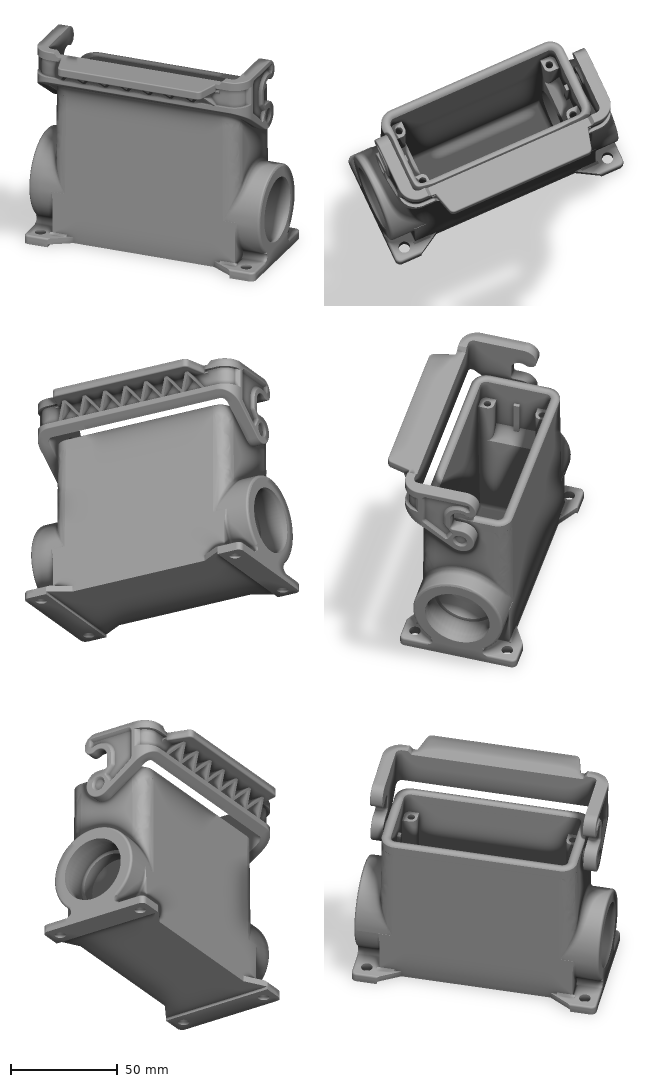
import cadquery as cq
import math

RIM_HALF_X = 46.7
RIM_HALF_Y = 21.4
CORNER_R = 7.1
WALL = 4.3
RIM_TOP_Z = 81.1
RIM_CROWN = 1.0
BEAD_Z = RIM_TOP_Z - RIM_CROWN
COLLAR_Z = 75.5
BODY_FLARE = 0.7
BASE_Z = 1.4
BASE_HALF_X = 46.2

MOUTH_HALF_X = RIM_HALF_X - WALL
MOUTH_HALF_Y = RIM_HALF_Y - WALL
SHELF_OUTER_Z = 53.8
SHELF_INNER_Z = 48.0
MOUTH_DRAFT = 0.3
WELL_HALF_X = 35.7
WELL_HALF_Y = 17.0
WELL_DRAFT = 1.6
FLOOR_Z = 4.7
FLOOR_FILLET = 1.8
WALL_RIB = 1.6
WALL_RIB_WIDTH = 2.8

POST_X = 38.6
POST_Y = 13.3
POST_TOP_Z = 69.5
POST_HALF_X = 2.9
POST_HALF_Y = 3.3
POST_CORNER_R = 2.8
POST_HOLE_R = 1.8
POST_HOLE_DEPTH = 11.7

HUB_R = 21.8
HUB_Z = 25.6
HUB_END_X = 58.5
HUB_INNER_X = 39.8
HUB_EDGE_FILLET = 1.2
HUB_ROOT_FILLET = 1.0
BORE_R = 15.7
BORE_DEPTH = 14.0
THROAT_R = 13.9
MEMBRANE_X = 38.0

FOOT_HALF_Y = 28.4
FOOT_TOP_Z = 4.3
FOOT_CORNER_R = 2.6
FOOT_EDGE_FILLET = 0.9
WING_TIP_X = 35.6
FOOT_HOLE_X = 52.2
FOOT_HOLE_Y = 22.5
FOOT_HOLE_R = 2.7
NECK_FILLET = 2.1
SEAM_RIB_WIDTH = 1.2
SEAM_RIB_HEIGHT = 0.8
SEAM_RIB_END_X = 38.8

LEVER_HALF_X = 53.9
ARM_INNER_X = 48.0
LEVER_FRONT_Y = -28.9
LEVER_INNER_Y = -24.7
LEVER_TOP_Z = 100.0
LEVER_CORNER_R = 8.5
LEVER_INNER_R = 2.6
LEVER_CHIN_Z = 84.5
ARM_EDGE_FILLET = 0.5
PIVOT_Z = 73.0
PIVOT_EYE_R = 6.8
PIVOT_PIN_R = 3.5
PIVOT_DISH_R = 2.5
PIVOT_DISH_DEPTH = 1.0

SLOT_Z = 86.6
SLOT_R = 4.7
SLOT_FILLET = 1.2
NOSE_Y = 7.7
NOSE_TIP_R = 3.4
NOSE_TIP_Z = 93.4
NOSE_TOP_R = 6.2

PANEL_DEPTH = 1.4
PANEL_TAPER = 45.0
PANEL_TOP_Z = 97.7
PANEL_FRONT_Y = -18.6
PANEL_NOSE_Y = 4.9
PANEL_ARC_R = 7.1
PANEL_ARC_END_Y = 2.3
PANEL_NOSE_Z = 94.8
PANEL_LOBE = (4.0, 93.0)
PANEL_CORNER_R = 2.1
PANEL_SMALL_R = 1.0
PANEL_CHIN_Z = 81.1
PANEL_WAIST = (-7.1, 81.4)
PANEL_HEEL = (-3.4, 77.0)
PANEL_TOE = (-6.5, 72.0)

BAND_DEPTH = 1.8
BAND_BOTTOM_Z = 86.9
BAND_TOP_Z = 95.9
BAND_END_Y = -20.5
EAR_TOP_X = 42.7
EAR_FOOT_X = 41.1
PLATE_TOP_Z = 98.0
PLATE_BOTTOM_Z = 94.0
PLATE_TIP_Y = -40.6
PLATE_ROOT_X = 39.2
PLATE_TIP_X = 36.0
PLATE_CORNER_R = 2.6
PLATE_EDGE_FILLET = 0.6
PLATE_ROOT_R = 1.6

RIB_PITCH = 11.0
RIB_PEAKS = 7
RIB_THICKNESS = 1.2
RIB_REACH_Y = -34.9

OVERLAP = 0.6
DIAGONAL = math.sqrt(0.5)


def box(x0, x1, y0, y1, z0, z1):
    return cq.Workplane("XY").box(x1 - x0, y1 - y0, z1 - z0, centered=False).translate((x0, y0, z0))


def both_ends(shape):
    """The shape together with its mirror image at the other X end."""
    return shape.union(shape.mirror("YZ"))


def both_sides(shape):
    """The shape together with its mirror image at the other Y side."""
    return shape.union(shape.mirror("XZ"))


def rounded_block(half_x, half_y, radius, z0, z1):
    block = box(-half_x, half_x, -half_y, half_y, z0, z1)
    return block.edges("|Z").fillet(radius)


def x_cylinder(radius, x0, x1, z):
    """Cylinder along X with its axis at y = 0."""
    return cq.Workplane("YZ", origin=(x0, 0, z)).circle(radius).extrude(x1 - x0)


def rim_crown():
    """Low arched bead running along the top of the tub wall."""
    mid_y = RIM_HALF_Y - WALL / 2
    path = rounded_block(RIM_HALF_X - WALL / 2, mid_y, CORNER_R - WALL / 2, BEAD_Z, RIM_TOP_Z)
    path = path.faces("<Z").wires().val()
    return (
        cq.Workplane("YZ", origin=(0, 0, BEAD_Z))
        .moveTo(mid_y - WALL / 2, 0)
        .threePointArc((mid_y, RIM_CROWN), (mid_y + WALL / 2, 0))
        .close()
        .sweep(cq.Workplane(path))
    )


def body():
    collar = rounded_block(RIM_HALF_X, RIM_HALF_Y, CORNER_R, COLLAR_Z, BEAD_Z)
    drafted = (
        cq.Workplane("XY", origin=(0, 0, COLLAR_Z))
        .rect(2 * RIM_HALF_X, 2 * RIM_HALF_Y)
        .workplane(offset=BASE_Z - COLLAR_Z)
        .rect(2 * (RIM_HALF_X + BODY_FLARE), 2 * (RIM_HALF_Y + BODY_FLARE))
        .loft(ruled=True)
    )
    upper_zone = box(-HUB_END_X, HUB_END_X, -FOOT_HALF_Y, FOOT_HALF_Y, HUB_Z, COLLAR_Z)
    base_zone = box(-BASE_HALF_X, BASE_HALF_X, -FOOT_HALF_Y, FOOT_HALF_Y, BASE_Z, HUB_Z)
    skirt = drafted.edges("not (#Z)").fillet(CORNER_R).intersect(upper_zone)
    base = drafted.intersect(base_zone)
    return collar.union(skirt).union(base).union(rim_crown())


def base_half_y(z):
    """Half depth of the drafted tub at a height below the collar."""
    return RIM_HALF_Y + BODY_FLARE * (COLLAR_Z - z) / (COLLAR_Z - BASE_Z)


def hub():
    """Cable entry boss at +X, blended into the foot below it."""
    barrel = x_cylinder(HUB_R, HUB_INNER_X, HUB_END_X, HUB_Z)
    barrel = barrel.faces(">X").edges().fillet(HUB_EDGE_FILLET)
    blend_z = FOOT_TOP_Z + NECK_FILLET
    reach = HUB_R + NECK_FILLET
    blend_y = math.sqrt(reach**2 - (HUB_Z - blend_z) ** 2)
    touch_y = blend_y * HUB_R / reach
    touch_z = HUB_Z + (blend_z - HUB_Z) * HUB_R / reach
    neck = (
        cq.Workplane("YZ", origin=(BASE_HALF_X, 0, 0))
        .moveTo(0, BASE_Z)
        .lineTo(blend_y, BASE_Z)
        .lineTo(blend_y, FOOT_TOP_Z)
        .threePointArc((blend_y - NECK_FILLET, blend_z), (touch_y, touch_z))
        .lineTo(0, HUB_Z)
        .close()
        .extrude(HUB_END_X - BASE_HALF_X)
    )
    return barrel.union(both_sides(neck))


def hub_root(shell):
    """The shell with the root of the +X hub filleted where it meets the end wall."""
    crest = cq.selectors.NearestToPointSelector((RIM_HALF_X, 0, HUB_Z + HUB_R))
    shell = shell.edges(crest).fillet(HUB_ROOT_FILLET)
    size = HUB_ROOT_FILLET
    ring = (
        cq.Workplane("XY", origin=(BASE_HALF_X, 0, HUB_Z))
        .moveTo(-OVERLAP, HUB_R + size)
        .lineTo(0, HUB_R + size)
        .threePointArc((size * (1 - DIAGONAL), HUB_R + size * (1 - DIAGONAL)), (size, HUB_R))
        .lineTo(size, HUB_R - OVERLAP)
        .lineTo(-OVERLAP, HUB_R - OVERLAP)
        .close()
        .revolve(360, (0, 0, 0), (1, 0, 0))
    )
    side = base_half_y(HUB_Z)
    lower_zone = box(BASE_HALF_X - OVERLAP, HUB_END_X, -side, side, FOOT_TOP_Z + 2 * NECK_FILLET, HUB_Z)
    return shell.union(ring.intersect(lower_zone))


def foot():
    """Mounting foot at +X, a plate with a slanted wing at each side, and its screw holes."""
    wall_y = base_half_y(FOOT_TOP_Z)
    plate = box(BASE_HALF_X, HUB_END_X, -FOOT_HALF_Y, FOOT_HALF_Y, 0, FOOT_TOP_Z)
    plate = plate.edges("|Z and >X").fillet(FOOT_CORNER_R)
    wing = (
        cq.Workplane("XY", origin=(0, 0, BASE_Z))
        .moveTo(BASE_HALF_X, FOOT_HALF_Y)
        .lineTo(WING_TIP_X, wall_y)
        .lineTo(BASE_HALF_X, wall_y)
        .close()
        .extrude(FOOT_TOP_Z - BASE_Z)
    )
    whole = plate.union(both_sides(wing))
    whole = whole.faces(">Z").edges("not <X").fillet(FOOT_EDGE_FILLET)
    holes = (
        cq.Workplane("XY")
        .pushPoints([(FOOT_HOLE_X, FOOT_HOLE_Y), (FOOT_HOLE_X, -FOOT_HOLE_Y)])
        .circle(FOOT_HOLE_R)
        .extrude(FOOT_TOP_Z)
    )
    seam_rib = (
        cq.Workplane("YZ", origin=(SEAM_RIB_END_X, 0, 0))
        .moveTo(wall_y, FOOT_TOP_Z - OVERLAP)
        .lineTo(wall_y + SEAM_RIB_WIDTH, FOOT_TOP_Z - OVERLAP)
        .lineTo(wall_y + SEAM_RIB_WIDTH, FOOT_TOP_Z)
        .lineTo(wall_y, FOOT_TOP_Z + SEAM_RIB_HEIGHT)
        .close()
        .extrude(BASE_HALF_X + SEAM_RIB_WIDTH - SEAM_RIB_END_X)
    )
    return whole.union(both_sides(seam_rib)), holes


def cavity():
    mouth = rounded_block(MOUTH_HALF_X, MOUTH_HALF_Y, CORNER_R - WALL, COLLAR_Z, RIM_TOP_Z)
    section = cq.Sketch().rect(2 * MOUTH_HALF_X, 2 * MOUTH_HALF_Y).vertices().fillet(CORNER_R - WALL)
    throat = (
        cq.Workplane("XY", origin=(0, 0, COLLAR_Z))
        .placeSketch(section)
        .extrude(SHELF_INNER_Z - COLLAR_Z, taper=MOUTH_DRAFT)
    )
    funnel = (
        cq.Workplane("XZ")
        .polyline(
            [
                (-WELL_HALF_X, SHELF_INNER_Z),
                (WELL_HALF_X, SHELF_INNER_Z),
                (MOUTH_HALF_X, SHELF_OUTER_Z),
                (MOUTH_HALF_X, RIM_TOP_Z),
                (-MOUTH_HALF_X, RIM_TOP_Z),
                (-MOUTH_HALF_X, SHELF_OUTER_Z),
            ]
        )
        .close()
        .extrude(MOUTH_HALF_Y, both=True)
    )
    well = (
        cq.Workplane("XY", origin=(0, 0, SHELF_INNER_Z))
        .rect(2 * WELL_HALF_X, 2 * WELL_HALF_Y)
        .extrude(FLOOR_Z - SHELF_INNER_Z, taper=WELL_DRAFT)
        .faces("<Z")
        .edges()
        .fillet(FLOOR_FILLET)
    )
    return mouth.union(throat).intersect(funnel).union(well)


def screw_posts():
    """Post with a blind screw hole in each cavity corner."""
    post = box(POST_X - POST_HALF_X, MOUTH_HALF_X + OVERLAP, POST_Y - POST_HALF_Y,
               MOUTH_HALF_Y + OVERLAP, SHELF_INNER_Z - OVERLAP, POST_TOP_Z)
    post = post.edges("|Z and <X and <Y").fillet(POST_CORNER_R)
    hole = (
        cq.Workplane("XY", origin=(POST_X, POST_Y, POST_TOP_Z))
        .circle(POST_HOLE_R)
        .extrude(-POST_HOLE_DEPTH)
    )
    return both_ends(both_sides(post.cut(hole)))


def wall_ribs():
    half_width = WALL_RIB_WIDTH / 2
    rib = box(MOUTH_HALF_X - WALL_RIB, MOUTH_HALF_X + OVERLAP, -half_width, half_width,
              SHELF_INNER_Z, POST_TOP_Z)
    return both_ends(rib)


def entry_bores():
    bore = x_cylinder(BORE_R, HUB_END_X - BORE_DEPTH, HUB_END_X, HUB_Z)
    open_throat = x_cylinder(THROAT_R, 0, HUB_END_X, HUB_Z)
    closed_throat = x_cylinder(THROAT_R, -HUB_END_X, -MEMBRANE_X, HUB_Z)
    return both_ends(bore).union(open_throat).union(closed_throat)


def chin_tangent():
    """Point where the line from the lever chin touches the pivot eye, as (y, z)."""
    dy = LEVER_FRONT_Y
    dz = LEVER_CHIN_Z - PIVOT_Z
    distance = math.hypot(dy, dz)
    angle = math.atan2(dz, dy) + math.acos(PIVOT_EYE_R / distance)
    return PIVOT_EYE_R * math.cos(angle), PIVOT_Z + PIVOT_EYE_R * math.sin(angle)


def lever_side():
    """Side outline of the lever, extruded across its full width."""
    tip_y = NOSE_Y - NOSE_TIP_R
    top_y = NOSE_Y - NOSE_TOP_R
    top_z = LEVER_TOP_Z - NOSE_TOP_R
    reach = SLOT_R + NOSE_TIP_R
    meet_y = tip_y * SLOT_R / reach
    meet_z = SLOT_Z + (NOSE_TIP_Z - SLOT_Z) * SLOT_R / reach
    eye_top_z = PIVOT_Z + PIVOT_EYE_R
    touch_y, touch_z = chin_tangent()
    outline = (
        cq.Workplane("YZ", origin=(-LEVER_HALF_X, 0, 0))
        .moveTo(LEVER_FRONT_Y, LEVER_CHIN_Z)
        .lineTo(LEVER_FRONT_Y, LEVER_TOP_Z)
        .lineTo(top_y, LEVER_TOP_Z)
        .threePointArc((top_y + NOSE_TOP_R * DIAGONAL, top_z + NOSE_TOP_R * DIAGONAL), (NOSE_Y, top_z))
        .lineTo(NOSE_Y, NOSE_TIP_Z)
        .threePointArc((tip_y + NOSE_TIP_R * DIAGONAL, NOSE_TIP_Z - NOSE_TIP_R * DIAGONAL), (meet_y, meet_z))
        .threePointArc((-SLOT_R * DIAGONAL, SLOT_Z + SLOT_R * DIAGONAL), (-SLOT_R, SLOT_Z))
        .lineTo(-SLOT_R, eye_top_z + SLOT_FILLET)
        .threePointArc(
            (-SLOT_R + SLOT_FILLET * (1 - DIAGONAL), eye_top_z + SLOT_FILLET * (1 - DIAGONAL)),
            (-SLOT_R + SLOT_FILLET, eye_top_z),
        )
        .lineTo(0, eye_top_z)
        .threePointArc((PIVOT_EYE_R, PIVOT_Z), (touch_y, touch_z))
        .close()
    )
    return outline.extrude(2 * LEVER_HALF_X)


def lever_plan(inset, z0, z1):
    """Lever footprint without its opening, shrunk by the inset."""
    block = box(-LEVER_HALF_X + inset, LEVER_HALF_X - inset, LEVER_FRONT_Y + inset, NOSE_Y, z0, z1)
    return block.edges("|Z and <Y").fillet(LEVER_CORNER_R - inset)


def arm_panel():
    """Sunken panel with sloping walls on the +X arm, following the outline of the arm."""
    arc_end_z = SLOT_Z + math.sqrt(PANEL_ARC_R**2 - PANEL_ARC_END_Y**2)
    outline = (
        cq.Workplane("YZ", origin=(LEVER_HALF_X - PANEL_DEPTH, 0, 0))
        .moveTo(PANEL_FRONT_Y, PANEL_TOP_Z)
        .lineTo(PANEL_NOSE_Y, PANEL_TOP_Z)
        .lineTo(PANEL_NOSE_Y, PANEL_NOSE_Z)
        .threePointArc(PANEL_LOBE, (PANEL_ARC_END_Y, arc_end_z))
        .threePointArc((-PANEL_ARC_R * DIAGONAL, SLOT_Z + PANEL_ARC_R * DIAGONAL), (-PANEL_ARC_R, SLOT_Z))
        .lineTo(*PANEL_WAIST)
        .lineTo(*PANEL_HEEL)
        .lineTo(*PANEL_TOE)
        .lineTo(PANEL_FRONT_Y, PANEL_CHIN_Z)
        .close()
        .extrude(PANEL_DEPTH)
    )
    panel = outline.edges("|X and <Y").fillet(PANEL_CORNER_R)
    for y, z in ((PANEL_NOSE_Y, PANEL_TOP_Z), PANEL_WAIST, PANEL_HEEL, PANEL_TOE):
        corner = cq.selectors.NearestToPointSelector((LEVER_HALF_X - PANEL_DEPTH / 2, y, z))
        panel = panel.edges(corner).fillet(PANEL_SMALL_R)
    return panel.faces(">X").wires().toPending().extrude(-PANEL_DEPTH, combine=False, taper=PANEL_TAPER)


def lever_frame():
    top = LEVER_TOP_Z
    bottom = PIVOT_Z - PIVOT_EYE_R
    opening = box(-ARM_INNER_X, ARM_INNER_X, LEVER_INNER_Y, NOSE_Y, bottom, top)
    opening = opening.edges("|Z and <Y").fillet(LEVER_INNER_R)
    frame = lever_plan(0, bottom, top).cut(opening).intersect(lever_side())
    frame = frame.faces("<X or >X").edges("not |Z").fillet(ARM_EDGE_FILLET)

    band = lever_plan(0, BAND_BOTTOM_Z, BAND_TOP_Z).cut(lever_plan(BAND_DEPTH, BAND_BOTTOM_Z, BAND_TOP_Z))
    floor_x = LEVER_HALF_X - BAND_DEPTH
    band_zone = (
        cq.Workplane("XY", origin=(0, 0, BAND_BOTTOM_Z))
        .polyline(
            [
                (-LEVER_HALF_X, LEVER_FRONT_Y),
                (LEVER_HALF_X, LEVER_FRONT_Y),
                (LEVER_HALF_X, BAND_END_Y),
                (floor_x, BAND_END_Y - BAND_DEPTH),
                (-floor_x, BAND_END_Y - BAND_DEPTH),
                (-LEVER_HALF_X, BAND_END_Y),
            ]
        )
        .close()
        .extrude(BAND_TOP_Z - BAND_BOTTOM_Z)
    )
    gap = (
        cq.Workplane("XZ", origin=(0, LEVER_FRONT_Y, 0))
        .polyline(
            [
                (-EAR_FOOT_X, PLATE_TOP_Z),
                (EAR_FOOT_X, PLATE_TOP_Z),
                (EAR_TOP_X, LEVER_TOP_Z),
                (-EAR_TOP_X, LEVER_TOP_Z),
            ]
        )
        .close()
        .extrude(LEVER_FRONT_Y - LEVER_INNER_Y)
    )
    return frame.cut(band.intersect(band_zone)).cut(gap).cut(both_ends(arm_panel()))


def finger_plate():
    plate = (
        cq.Workplane("XY", origin=(0, 0, PLATE_BOTTOM_Z))
        .polyline(
            [
                (-PLATE_ROOT_X, LEVER_INNER_Y),
                (-PLATE_ROOT_X, LEVER_FRONT_Y),
                (-PLATE_TIP_X, PLATE_TIP_Y),
                (PLATE_TIP_X, PLATE_TIP_Y),
                (PLATE_ROOT_X, LEVER_FRONT_Y),
                (PLATE_ROOT_X, LEVER_INNER_Y),
            ]
        )
        .close()
        .extrude(PLATE_TOP_Z - PLATE_BOTTOM_Z)
    )
    plate = plate.edges("|Z and <Y").fillet(PLATE_CORNER_R)
    return plate.faces("<Z or >Z").edges("not >Y").fillet(PLATE_EDGE_FILLET)


def plate_root():
    """Concave fillet between the underside of the finger plate and the recessed lever front."""
    wall_y = LEVER_FRONT_Y + BAND_DEPTH
    arc_y = wall_y - PLATE_ROOT_R
    arc_z = PLATE_BOTTOM_Z - PLATE_ROOT_R
    reach = PLATE_ROOT_R * DIAGONAL
    half_width = PLATE_ROOT_X + PLATE_ROOT_R
    return (
        cq.Workplane("YZ", origin=(-half_width, 0, 0))
        .moveTo(wall_y, arc_z)
        .threePointArc((arc_y + reach, arc_z + reach), (arc_y, PLATE_BOTTOM_Z))
        .lineTo(arc_y, PLATE_BOTTOM_Z + OVERLAP)
        .lineTo(wall_y + OVERLAP, PLATE_BOTTOM_Z + OVERLAP)
        .lineTo(wall_y + OVERLAP, arc_z)
        .close()
        .extrude(2 * half_width)
    )


def zigzag_ribs():
    wall_y = LEVER_FRONT_Y + BAND_DEPTH
    gusset = (
        cq.Workplane("YZ", origin=(-LEVER_HALF_X, 0, 0))
        .polyline(
            [
                (wall_y + OVERLAP, BAND_BOTTOM_Z),
                (LEVER_FRONT_Y, BAND_BOTTOM_Z),
                (RIB_REACH_Y, PLATE_BOTTOM_Z),
                (RIB_REACH_Y, PLATE_BOTTOM_Z + OVERLAP),
                (wall_y + OVERLAP, PLATE_BOTTOM_Z + OVERLAP),
            ]
        )
        .close()
        .extrude(2 * LEVER_HALF_X)
    )
    rise = PLATE_BOTTOM_Z - BAND_BOTTOM_Z
    run = RIB_PITCH / 2
    half_base = RIB_THICKNESS / 2 * math.hypot(rise, run) / rise
    ribs = cq.Workplane("XZ")
    for peak in range(RIB_PEAKS):
        peak_x = (peak - (RIB_PEAKS - 1) / 2) * RIB_PITCH
        for foot_x in (peak_x - run, peak_x + run):
            strip = (
                cq.Workplane("XZ")
                .polyline(
                    [
                        (foot_x - half_base, BAND_BOTTOM_Z),
                        (foot_x + half_base, BAND_BOTTOM_Z),
                        (peak_x + half_base, PLATE_BOTTOM_Z),
                        (peak_x - half_base, PLATE_BOTTOM_Z),
                    ]
                )
                .close()
                .extrude(-RIB_REACH_Y)
            )
            ribs = ribs.union(strip)
    return ribs.intersect(gusset)


def pivots():
    pin = x_cylinder(PIVOT_PIN_R, RIM_HALF_X - OVERLAP, ARM_INNER_X + OVERLAP, PIVOT_Z)
    return both_ends(pin)


def pivot_dishes():
    """Conical dish in the outer end of each pivot."""
    dish = (
        cq.Workplane("YZ", origin=(LEVER_HALF_X - PIVOT_DISH_DEPTH, 0, PIVOT_Z))
        .circle(PIVOT_DISH_R)
        .workplane(offset=PIVOT_DISH_DEPTH)
        .circle(PIVOT_PIN_R)
        .loft()
    )
    return both_ends(dish)


foot_plate, foot_holes = foot()
end_parts = hub().union(foot_plate)
half_zone = box(0, HUB_END_X, -FOOT_HALF_Y, FOOT_HALF_Y, 0, RIM_TOP_Z)
housing = both_ends(hub_root(body().union(end_parts)).intersect(half_zone))
housing = housing.cut(both_ends(foot_holes)).cut(cavity())
housing = housing.union(screw_posts()).union(wall_ribs()).cut(entry_bores())
lever = lever_frame().union(finger_plate()).union(plate_root()).union(zigzag_ribs()).cut(pivot_dishes())
result = housing.union(lever).union(pivots())